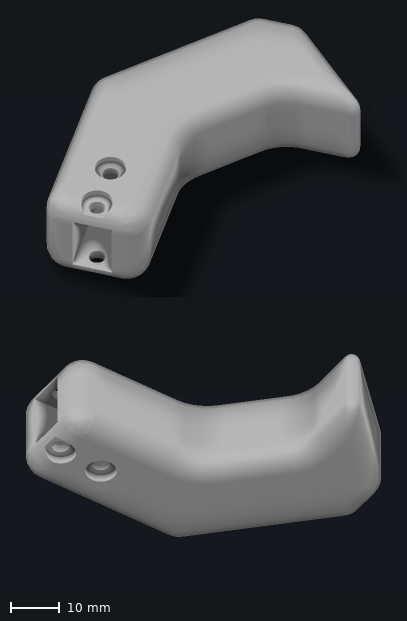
import cadquery as cq
import math

length = 66.0
thickness = 20.0
arm_width = 22.0
rim_radius = 4.5
corner_radius = 5.0
bend_radius = 10.0
tip_radius = 1.7

shoulder_y = 39.1
elbow_y = 29.95
beak_y = 46.1
crown_right_x = 37.0
crown_left_x = length - shoulder_y
elbow_outer_x = arm_width + beak_y - elbow_y
beak_tip_x = crown_right_x + length - beak_y

socket_width = 8.4
socket_height = 12.55
socket_depth = 20.0
hole_diameter = 3.4
counterbore_diameter = 6.5
counterbore_depth = 1.8
first_hole_y = 3.55
hole_spacing = 10.0
arm_center_x = arm_width / 2

convex_corners = [
    (0, 0),
    (arm_width, 0),
    (crown_right_x, length),
    (crown_left_x, length),
    (0, shoulder_y),
]
concave_corners = [(arm_width, elbow_y), (elbow_outer_x, beak_y)]
beak_tip = (beak_tip_x, beak_y)


def edges_at(body, points):
    """Select the vertical edges standing on the given outline points."""
    def stands_on_point(edge):
        center = edge.Center()
        return any(math.dist((center.x, center.y), point) < 0.005 for point in points)

    vertical = body.edges("|Z")
    return vertical.newObject([edge for edge in vertical.vals() if stands_on_point(edge)])


def make_outline_prism():
    """Bent arm with a beak: plan corners rounded, beak tip and rims still sharp."""
    outline = convex_corners[:2] + concave_corners + [beak_tip] + convex_corners[2:]
    prism = cq.Workplane("XY").polyline(outline).close().extrude(thickness)
    prism = edges_at(prism, convex_corners).fillet(corner_radius)
    return edges_at(prism, concave_corners).fillet(bend_radius)


def make_body():
    """Arm with rounded rims and a beak tip whose rounding runs up into them.

    The tip is narrower than the rim radius, so a core smaller by the tip radius
    is rimmed first and then grown outward, which rounds its sharp tip crest.
    """
    core = (
        make_outline_prism()
        .faces("<Z")
        .wires()
        .toPending()
        .offset2D(-tip_radius, "intersection")
        .extrude(thickness / 2 - tip_radius, both=True, combine=False)
        .faces("<Z or >Z")
        .edges()
        .fillet(rim_radius - tip_radius)
    )
    skin = core.solids().val().shell([], tip_radius, kind="arc")
    return core.union(cq.Workplane(skin))


def make_socket():
    """Rectangular socket entering the end of the arm."""
    return cq.Workplane("XY").box(
        socket_width, socket_depth, socket_height, centered=(True, False, True)
    ).translate((arm_center_x, 0, 0))


def make_screw_hole(y):
    """Through hole with a counterbore in both broad faces."""
    bore = cq.Workplane("XY").circle(hole_diameter / 2).extrude(thickness / 2, both=True)
    head = cq.Workplane("XY").circle(counterbore_diameter / 2).extrude(counterbore_depth)
    top_head = head.translate((0, 0, thickness / 2 - counterbore_depth))
    bottom_head = head.translate((0, 0, -thickness / 2))
    return bore.union(top_head).union(bottom_head).translate((arm_center_x, y, 0))


result = make_body().cut(make_socket())
for hole_y in (first_hole_y, first_hole_y + hole_spacing):
    result = result.cut(make_screw_hole(hole_y))
result = result.solids()